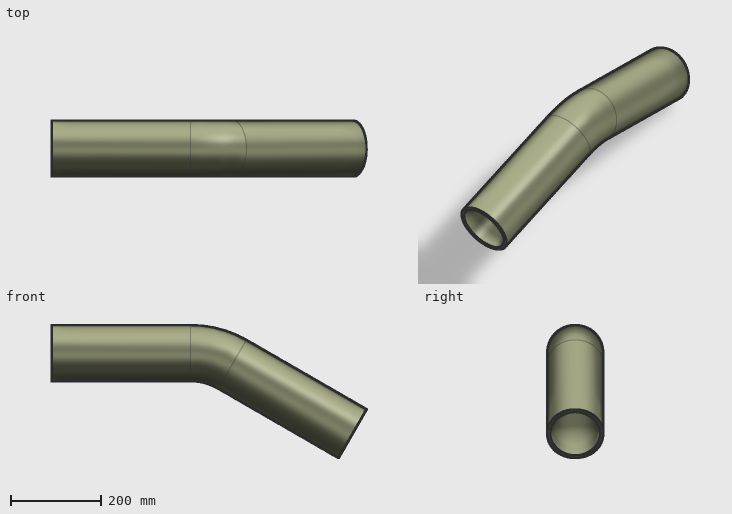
import cadquery as cq
import math

overall_length = 699.0
outer_diameter = 125.0
inner_diameter = 110.5
leg_length = 308.5
bend_angle = 30.0

angle = math.radians(bend_angle)
end_overhang = outer_diameter / 2 * math.sin(angle)
leg_reach = leg_length * (1 + math.cos(angle))
bend_radius = (overall_length - leg_reach - end_overhang) / math.sin(angle)


def axis_path():
    """Pipe axis: a level leg along +X, a downward bend and a sloping leg."""
    def bend_point(turn):
        return (
            leg_length + bend_radius * math.sin(turn),
            -bend_radius * (1 - math.cos(turn)),
        )

    bend_end = bend_point(angle)
    pipe_end = (
        bend_end[0] + leg_length * math.cos(angle),
        bend_end[1] - leg_length * math.sin(angle),
    )
    return (
        cq.Workplane("XZ")
        .lineTo(leg_length, 0)
        .threePointArc(bend_point(angle / 2), bend_end)
        .lineTo(*pipe_end)
    )


result = (
    cq.Workplane("YZ")
    .circle(outer_diameter / 2)
    .circle(inner_diameter / 2)
    .sweep(axis_path())
)